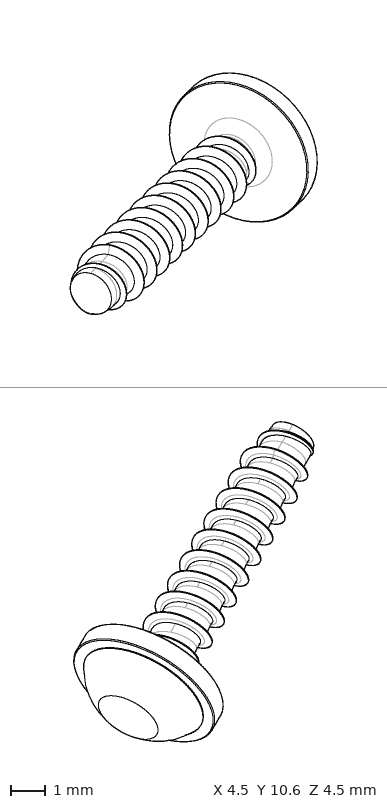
import cadquery as cq
import math

total_length = 10.6
screw_axis = ((0, 0, 0), (1, 0, 0))

dome_top_radius = 0.95
dome_base_radius = 1.91
dome_radius = 2.12
dome_skirt = 0.03
flange_top = 1.0
flange_bottom = 1.61
flange_diameter = 4.5
flange_radius = flange_diameter / 2
flange_edge_break = 0.03

neck_radius = 0.75
neck_end = 2.09
neck_fillet = 0.35
core_start = 2.42
core_radius = 0.7
tip_start = 10.34
tip_radius = 0.67
tip_dish_depth = 0.04

first_crest = 2.41
last_full_crest = 9.43
full_crest_turns = 9.0
pitch = (last_full_crest - first_crest) / full_crest_turns
crest_diameter = 2.0
crest_radius = crest_diameter / 2
crest_half_width = 0.016
flank_knee_radius = 0.8
flank_knee_offset = 0.08
leading_base_offset = 0.2
trailing_foot_offset = 0.11
trailing_foot_radius = 0.74
ramp_end_offset = 0.56
ramp_end_radius = 0.69
ridge_base_radius = 0.58

faded_radius = 0.64
run_in_turns = (-1.0, 0.55)
run_in_start_height = 0.41
run_out_turns = (full_crest_turns, 10.6)
run_out_end_height = 0.09
spline_points_per_turn = 16


def make_body():
    """Revolve the head, neck, core and tapered tip about the Y axis."""
    dome_edge = flange_top - dome_skirt
    chord_r = dome_base_radius - dome_top_radius
    chord = math.hypot(chord_r, dome_edge)
    sagitta = dome_radius - math.sqrt(dome_radius**2 - (chord / 2) ** 2)
    dome_mid_r = (dome_top_radius + dome_base_radius) / 2 + sagitta * dome_edge / chord
    dome_mid_y = -dome_edge / 2 + sagitta * chord_r / chord

    fillet_station = flange_bottom + neck_fillet
    fillet_inset = neck_fillet * (1 - math.sqrt(0.5))
    edge = flange_edge_break
    return (
        cq.Workplane("YZ")
        .moveTo(0, 0)
        .lineTo(0, dome_top_radius)
        .threePointArc((dome_mid_y, dome_mid_r), (-dome_edge, dome_base_radius))
        .lineTo(-flange_top, dome_base_radius)
        .lineTo(-flange_top, flange_radius - edge)
        .lineTo(-flange_top - edge, flange_radius)
        .lineTo(-flange_bottom + edge, flange_radius)
        .lineTo(-flange_bottom, flange_radius - edge)
        .lineTo(-flange_bottom, neck_radius + neck_fillet)
        .threePointArc(
            (-flange_bottom - fillet_inset, neck_radius + fillet_inset),
            (-fillet_station, neck_radius),
        )
        .lineTo(-neck_end, neck_radius)
        .lineTo(-core_start, core_radius)
        .lineTo(-tip_start, core_radius)
        .lineTo(-total_length, tip_radius)
        .lineTo(-total_length, 0)
        .close()
        .revolve(360, *screw_axis)
    )


def make_tip_dish():
    """Shallow cone sunk into the end face of the tip."""
    return (
        cq.Workplane("YZ")
        .moveTo(-total_length, 0)
        .lineTo(-total_length, tip_radius)
        .lineTo(-total_length + tip_dish_depth, 0)
        .close()
        .revolve(360, *screw_axis)
    )


def thread_height(turn):
    """Relative ridge height: 1 over the full thread, less at both ends."""
    start, full = run_in_turns
    fade, end = run_out_turns
    if turn < full:
        return 1 - (1 - run_in_start_height) * (full - turn) / (full - start)
    if turn > fade:
        return 1 - (1 - run_out_end_height) * (turn - fade) / (end - fade)
    return 1.0


def helix_point(turn, offset, radius):
    """Point of a right-hand helix; the radius is scaled by the thread height."""
    if radius > faded_radius:
        radius = faded_radius + (radius - faded_radius) * thread_height(turn)
    angle = -2 * math.pi * turn
    station = first_crest + pitch * turn + offset
    return cq.Vector(radius * math.sin(angle), -station, radius * math.cos(angle))


def helix_edge(start, end, offset, radius):
    """Spline along one corner of the ridge between two turn counts."""
    steps = math.ceil((end - start) * spline_points_per_turn)
    turns = [start + (end - start) * i / steps for i in range(steps + 1)]
    return cq.Edge.makeSpline([helix_point(turn, offset, radius) for turn in turns])


def make_thread():
    """Build the helical ridge from ruled flanks, clipped to the threaded length."""
    ridge_profile = [
        (-leading_base_offset, ridge_base_radius),
        (-flank_knee_offset, flank_knee_radius),
        (-crest_half_width, crest_radius),
        (crest_half_width, crest_radius),
        (trailing_foot_offset, trailing_foot_radius),
        (ramp_end_offset, ramp_end_radius),
        (ramp_end_offset, ridge_base_radius),
    ]
    faces = []
    breaks = run_in_turns + run_out_turns
    for start, end in zip(breaks, breaks[1:]):
        edges = [helix_edge(start, end, *corner) for corner in ridge_profile]
        for edge, next_edge in zip(edges, edges[1:] + edges[:1]):
            faces.append(cq.Face.makeRuledSurface(edge, next_edge))
    for turn in (breaks[0], breaks[-1]):
        corners = [helix_point(turn, *corner) for corner in ridge_profile]
        faces.append(cq.Face.makeFromWires(cq.Wire.makePolygon(corners, close=True)))
    ridge = cq.Workplane(cq.Solid.makeSolid(cq.Shell.makeShell(faces)))

    threaded_length = (
        cq.Workplane("XZ", origin=(0, -neck_end, 0))
        .circle(flange_radius)
        .extrude(total_length - neck_end)
    )
    return ridge.intersect(threaded_length)


result = make_body().union(make_thread()).cut(make_tip_dish())